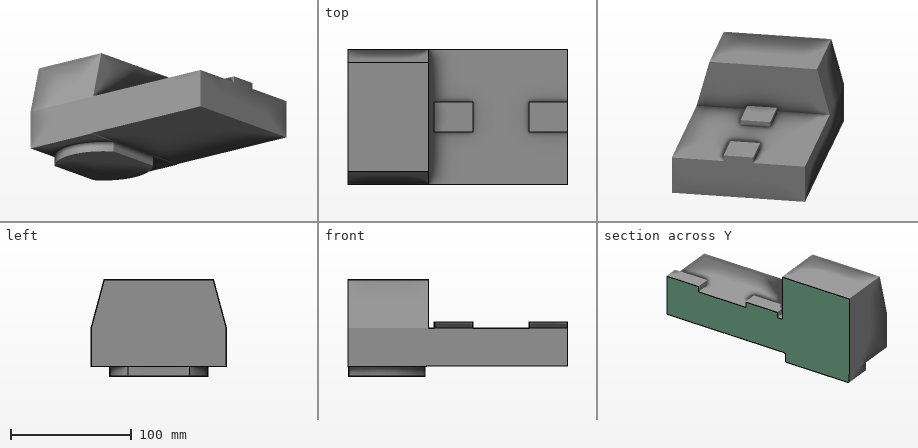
import cadquery as cq

length = 182.0
width = 112.0
base_height = 31.5

head_length = 67.0
head_height = 40.0
head_top_width = 90.5

step_length = 65.0
step_height = 0.5

foot_diameter = 81.4
foot_across_flats = 63.4
foot_height = 8.0
foot_center_x = 32.3

pad_length = 32.0
pad_width = 25.0
pad_height = 5.0
pad_corner_chamfer = 0.5
pad_left_edges = (71.5, length - pad_length)


def block(left, size_x, size_y, bottom, size_z):
    """Box centred on Y, starting at x = left and z = bottom."""
    return cq.Workplane("XY", origin=(left, 0, bottom)).box(
        size_x, size_y, size_z, centered=(False, True, False)
    )


def make_head():
    """Trapezoid profile extruded along X."""
    head_top = base_height + head_height
    return (
        cq.Workplane("YZ")
        .moveTo(-width / 2, base_height)
        .lineTo(width / 2, base_height)
        .lineTo(head_top_width / 2, head_top)
        .lineTo(-head_top_width / 2, head_top)
        .close()
        .extrude(head_length)
    )


def make_foot():
    """Disc below the step, trimmed to its flats on the -X and +X sides."""
    foot_bottom = -step_height - foot_height
    disc = (
        cq.Workplane("XY", origin=(foot_center_x, 0, foot_bottom))
        .circle(foot_diameter / 2)
        .extrude(foot_height)
    )
    flats_left = foot_center_x - foot_across_flats / 2
    return disc.intersect(block(flats_left, foot_across_flats, foot_diameter, foot_bottom, foot_height))


def make_pad(left):
    """Flat pad with slightly chamfered upright corners."""
    pad = block(left, pad_length, pad_width, base_height, pad_height)
    return pad.edges("|Z").chamfer(pad_corner_chamfer)


base = block(0, length, width, 0, base_height)
step = block(0, step_length, width, -step_height, step_height)
result = base.union(make_head()).union(step).union(make_foot())
for pad_left in pad_left_edges:
    result = result.union(make_pad(pad_left))